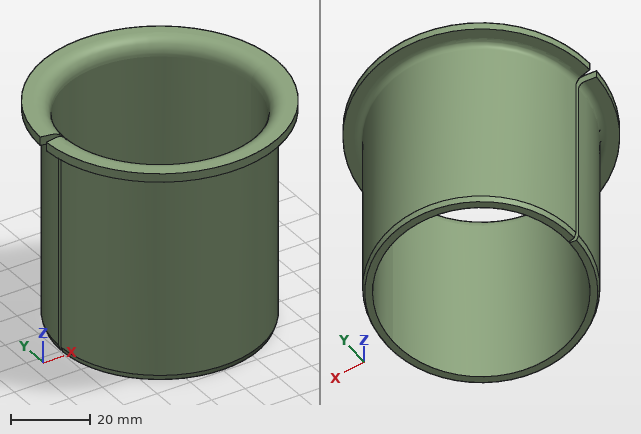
import cadquery as cq
import math

flange_diameter = 70.0
height = 65.0
tube_diameter = 60.0
wall = 2.5
bend_outer_radius = 1.95
bend_inner_radius = bend_outer_radius + wall

chamfer_width = 0.55
chamfer_height = 1.6

split_inner_gap = 0.3
split_outer_gap = 2.95

flange_radius = flange_diameter / 2
tube_radius = tube_diameter / 2
bore_radius = tube_radius - wall


def make_bushing():
    """Revolve the constant-thickness wall, bent outward into the flange."""
    bend_x = tube_radius + bend_outer_radius
    bend_z = height - bend_inner_radius
    diagonal = math.sqrt(0.5)
    outer_mid = (bend_x - bend_outer_radius * diagonal, bend_z + bend_outer_radius * diagonal)
    inner_mid = (bend_x - bend_inner_radius * diagonal, bend_z + bend_inner_radius * diagonal)
    profile = (
        cq.Workplane("XZ")
        .moveTo(bore_radius, 0)
        .lineTo(tube_radius - chamfer_width, 0)
        .lineTo(tube_radius, chamfer_height)
        .lineTo(tube_radius, bend_z)
        .threePointArc(outer_mid, (bend_x, height - wall))
        .lineTo(flange_radius, height - wall)
        .lineTo(flange_radius, height)
        .lineTo(bend_x, height)
        .threePointArc(inner_mid, (bore_radius, bend_z))
        .close()
    )
    return profile.revolve(360, (0, 0, 0), (0, 1, 0))


def make_split():
    """Full-height wedge that opens from the bore to beyond the flange rim."""
    half_slope = (split_outer_gap - split_inner_gap) / 2 / (flange_radius - bore_radius)
    overrun = wall / 2
    start_radius = bore_radius - split_inner_gap
    end_radius = flange_radius + overrun
    start_half_gap = split_inner_gap / 2 - half_slope * (bore_radius - start_radius)
    end_half_gap = split_outer_gap / 2 + half_slope * overrun
    wedge = [
        (-start_radius, -start_half_gap),
        (-end_radius, -end_half_gap),
        (-end_radius, end_half_gap),
        (-start_radius, start_half_gap),
    ]
    return cq.Workplane("XY").polyline(wedge).close().extrude(height)


result = make_bushing().cut(make_split())